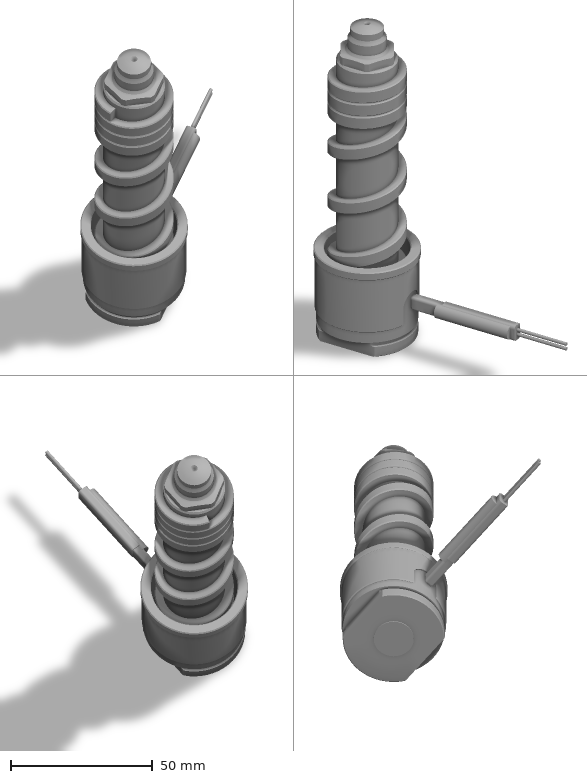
import cadquery as cq
import math

total_height = 126.2
total_depth = 100.0
edge_break = 0.4
overlap = 0.3

boss_radius = 7.1
boss_height = 0.4
base_radius = 18.0
base_across_flats = 28.0
flats_top = 6.3
neck_radius = 17.0
neck_bottom = 4.5

sleeve_radius = 18.5
sleeve_bottom = 10.6
rim_radius = 38.0 / 2
rim_bottom = 32.0
rim_top = 35.3
bore_radius = 15.3
bore_floor = 9.5

shaft_radius = 11.0
shaft_top = 112.5
shaft_chamfer = 0.6
hex_across_flats = 18.9
hex_corner_radius = 10.5
hex_top = 115.5
foot_radius = 7.8
foot_top = 116.1
collar_radius = 7.0
collar_bottom = 116.9
collar_top = 120.8
tip_radius = 12.0 / 2
tip_shoulder_radius = 6.4
tip_shoulder = 121.5
tip_bottom = 122.3
dome_edge = 124.8
dent_radius = 1.3
dent_depth = 1.3

spring_radius = 14.0
wire_height = 4.9
closed_pitch = 5.3
open_pitch = 22.0
spring_end_height = 107.3
upper_end_angle = 254.0
upper_seam_angle = 240.0
ramp_sweep = 135.0
open_sweep = 865.0
closed_turns = 3
min_curve_samples = 12
degrees_per_sample = 10

cable_z = 17.5
cable_left = -2.9
cable_right = 0.57
cable_height = 5.2
cable_left_round = 0.5
cable_right_round = 0.9
cover_left = -3.3
cover_right = 0.6
cover_height = 6.0
cover_left_round = 0.95
cover_right_round = 1.2
cover_start = 30.8
cover_length = 30.0
pin_radius = 2.7
pin_x = 0.0
pin_shift = 1.9
lead_radius = 0.6
lead_spacing = 1.9
lead_x = -1.5
lead_end = total_depth - rim_radius
cable_start = 18.7
stub_inset = 0.3
stub_start = 16.4

slot_radius = 5.0
slot_top = 22.3


def revolve_profile(profile):
    """Turn a closed outline in the X-Z plane around the Z axis."""
    return profile.close().revolve(360, (0, 0, 0), (0, 1, 0))


def disc(radius, bottom, top):
    """Plain round body between two heights."""
    return cq.Workplane("XY").workplane(offset=bottom).circle(radius).extrude(top - bottom)


def make_base():
    """Grooved foot with two parallel flats and a low centre boss."""
    foot = revolve_profile(
        cq.Workplane("XZ")
        .moveTo(0, boss_height)
        .lineTo(base_radius - edge_break, boss_height)
        .lineTo(base_radius, boss_height + edge_break)
        .lineTo(base_radius, neck_bottom)
        .lineTo(neck_radius, neck_bottom)
        .lineTo(neck_radius, flats_top)
        .lineTo(0, flats_top)
    )
    flats = cq.Workplane("XY").box(
        base_across_flats, 2 * base_radius, 2 * flats_top
    )
    return foot.intersect(flats).union(disc(boss_radius, 0, boss_height + overlap))


def make_housing():
    """Stepped cup with a rim and an arched cable slot in its outer sleeve."""
    core = disc(base_radius, flats_top, rim_bottom)
    sleeve = revolve_profile(
        cq.Workplane("XZ")
        .moveTo(0, sleeve_bottom)
        .lineTo(sleeve_radius - edge_break, sleeve_bottom)
        .lineTo(sleeve_radius, sleeve_bottom + edge_break)
        .lineTo(sleeve_radius, rim_bottom)
        .lineTo(rim_radius - edge_break, rim_bottom)
        .lineTo(rim_radius, rim_bottom + edge_break)
        .lineTo(rim_radius, rim_top - edge_break)
        .lineTo(rim_radius - edge_break, rim_top)
        .lineTo(0, rim_top)
    )
    slot_centre = slot_top - slot_radius
    slot = (
        cq.Workplane("XZ")
        .moveTo(-slot_radius, 0)
        .lineTo(-slot_radius, slot_centre)
        .threePointArc((0, slot_top), (slot_radius, slot_centre))
        .lineTo(slot_radius, 0)
        .close()
        .extrude(-rim_radius)
    )
    bore = revolve_profile(
        cq.Workplane("XZ")
        .moveTo(0, bore_floor)
        .lineTo(bore_radius, bore_floor)
        .lineTo(bore_radius, rim_top - edge_break)
        .lineTo(bore_radius + edge_break, rim_top)
        .lineTo(0, rim_top)
    )
    return sleeve.cut(slot).union(core).cut(bore)


def make_shaft():
    """Round shaft with a chamfered top."""
    shaft = disc(shaft_radius, bore_floor - overlap, shaft_top)
    return shaft.faces(">Z").chamfer(shaft_chamfer)


def make_tip():
    """Hexagon with a conical top, stepped collar and a domed end with a centre dent."""
    hexagon = (
        cq.Workplane("XY")
        .workplane(offset=shaft_top - overlap)
        .polygon(6, hex_across_flats / math.cos(math.radians(30)))
        .extrude(foot_top - shaft_top + overlap)
        .rotate((0, 0, 0), (0, 0, 1), 30)
    )
    hex_envelope = revolve_profile(
        cq.Workplane("XZ")
        .moveTo(0, shaft_top - overlap)
        .lineTo(hex_corner_radius, shaft_top - overlap)
        .lineTo(hex_corner_radius, hex_top)
        .lineTo(foot_radius, foot_top)
        .lineTo(0, foot_top)
    )
    dome_rise = total_height - dome_edge
    centre_depth = (tip_radius**2 - dent_radius**2 + dome_rise**2) / (2 * dome_rise)
    dome_radius = math.hypot(centre_depth, dent_radius)
    stem = revolve_profile(
        cq.Workplane("XZ")
        .moveTo(0, hex_top)
        .lineTo(foot_radius, hex_top)
        .lineTo(foot_radius, foot_top)
        .lineTo(collar_radius, collar_bottom)
        .lineTo(collar_radius, collar_top)
        .lineTo(tip_shoulder_radius, tip_shoulder)
        .lineTo(tip_radius, tip_bottom)
        .lineTo(tip_radius, dome_edge)
        .radiusArc((dent_radius, total_height), -dome_radius)
        .lineTo(0, total_height - dent_depth)
    )
    return hexagon.intersect(hex_envelope).union(stem)


def wire_stretch(start_angle, sweep, start_height, start_pitch, end_pitch):
    """One stretch of spring wire wound downward while its pitch changes linearly.

    Returns the solid and the height of the wire's middle at the lower end.
    """
    half = wire_height / 2
    inner_radius = shaft_radius - overlap
    section = [
        (inner_radius, -half),
        (spring_radius - edge_break, -half),
        (spring_radius, edge_break - half),
        (spring_radius, half - edge_break),
        (spring_radius - edge_break, half),
        (inner_radius, half),
    ]
    samples = max(min_curve_samples, round(sweep / degrees_per_sample))

    def drop(share):
        mean_pitch = start_pitch + (end_pitch - start_pitch) * share / 2
        return mean_pitch * sweep * share / 360

    def corner_curve(radius, offset):
        def point(share):
            angle = math.radians(start_angle - sweep * share)
            height = start_height + offset - drop(share)
            return (radius * math.cos(angle), radius * math.sin(angle), height)

        return cq.Workplane("XY").parametricCurve(point, N=samples).val().Edges()[0]

    curves = [corner_curve(radius, offset) for radius, offset in section]
    faces = [
        cq.Face.makeRuledSurface(curves[i - 1], curves[i]) for i in range(len(curves))
    ]
    upper_outline = [curve.startPoint() for curve in curves]
    lower_outline = [curve.endPoint() for curve in curves]
    for outline in (upper_outline, lower_outline):
        faces.append(cq.Face.makeFromWires(cq.Wire.makePolygon(outline, close=True)))
    solid = cq.Solid.makeSolid(cq.Shell.makeShell(faces)).fix()
    return solid, start_height - drop(1)


def make_spring():
    """Stretches of the right-hand spring: closed coils at both ends, open coils between."""
    closed_sweep = 360 * closed_turns + upper_end_angle - upper_seam_angle
    stretches = [
        (closed_sweep, closed_pitch, closed_pitch),
        (ramp_sweep, closed_pitch, open_pitch),
        (open_sweep, open_pitch, open_pitch),
        (ramp_sweep, open_pitch, closed_pitch),
        (closed_sweep, closed_pitch, closed_pitch),
    ]
    angle = upper_end_angle
    height = spring_end_height
    solids = []
    for sweep, start_pitch, end_pitch in stretches:
        solid, height = wire_stretch(angle, sweep, height, start_pitch, end_pitch)
        angle -= sweep
        solids.append(solid)
    return solids


def rounded_bar(left, right, height, left_round, right_round, start, end):
    """Flat bar along Y with its left and right edges rounded differently."""
    bar = cq.Workplane("XY").box(right - left, end - start, height)
    bar = bar.edges("|Y and <X").fillet(left_round)
    bar = bar.edges("|Y and >X").fillet(right_round)
    return bar.translate(((left + right) / 2, (start + end) / 2, cable_z))


def rod_along_y(radius, x, z, start, end):
    """Round rod parallel to Y."""
    return cq.Workplane("XZ", origin=(x, start, z)).circle(radius).extrude(start - end)


def make_cable():
    """Flat cable with its entry stub, its cover, the pin beside it and two leads."""
    cover_end = cover_start + cover_length
    cable = rounded_bar(
        cable_left, cable_right, cable_height, cable_left_round, cable_right_round,
        cable_start, cover_start + overlap,
    )
    stub = rounded_bar(
        cable_left + stub_inset, cable_right - stub_inset, cable_height - 2 * stub_inset,
        cable_left_round, cable_right_round, stub_start, cable_start + overlap,
    )
    cover = rounded_bar(
        cover_left, cover_right, cover_height, cover_left_round, cover_right_round,
        cover_start, cover_end,
    )
    pin = rod_along_y(
        pin_radius, pin_x, cable_z, cover_start - pin_shift, cover_end - pin_shift
    )
    cable = cable.union(stub).union(cover).union(pin)
    for side in (-1, 1):
        lead_z = cable_z + side * lead_spacing / 2
        lead = rod_along_y(lead_radius, lead_x, lead_z, cover_end - overlap, lead_end)
        cable = cable.union(lead)
    return cable


result = make_base().union(make_housing()).union(make_shaft()).union(make_tip())
for stretch in make_spring():
    result = result.union(cq.Workplane(stretch))
result = result.union(make_cable())